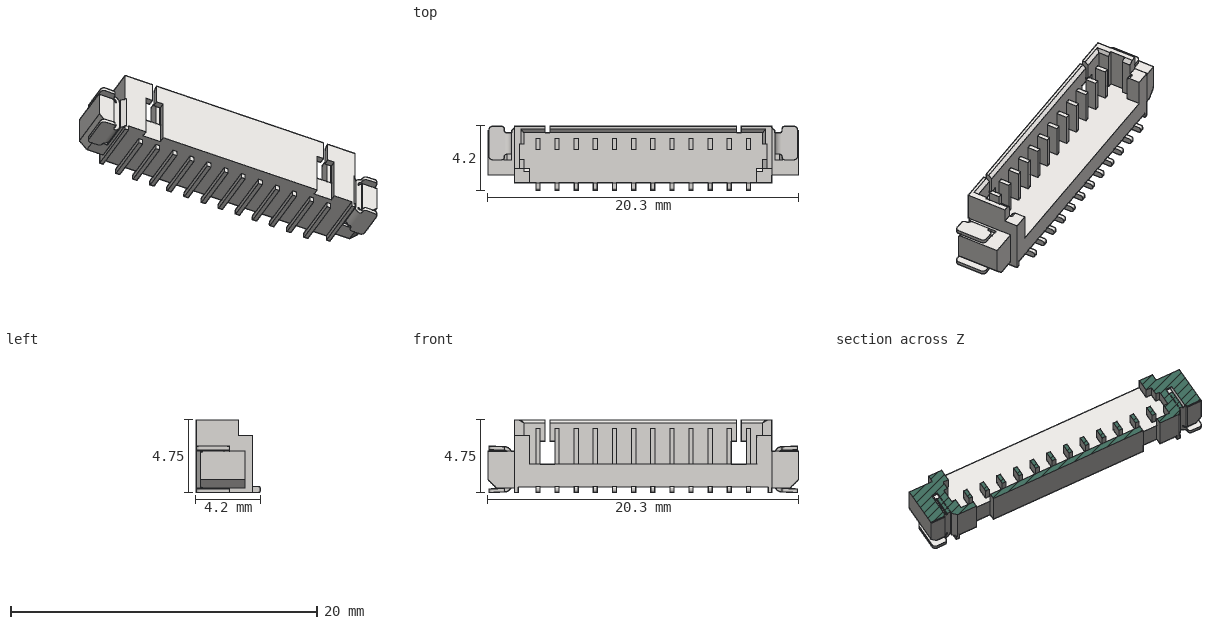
import cadquery as cq
import math

PIN_COUNT = 12
PIN_PITCH = 1.25
PIN_WIDTH = 0.28
PIN_FRONT = 2.17
PIN_BACK = 2.91
PIN_TOP = 4.2
TAIL_LENGTH = 0.5
TAIL_HEIGHT = 0.42
TAIL_ROUNDING = 0.16
FIRST_PIN_X = -PIN_PITCH * (PIN_COUNT - 1) / 2

HALF_LENGTH = 8.41
DEPTH = 3.7
HEIGHT = 4.75
UNDERSIDE = 0.37
FLOOR = 1.86
FOOT_WIDTH = 0.25
BACK_WALL = 0.43
SIDE_WALL = 0.32
STEP_DEPTH = 0.92
STEP_HEIGHT = 3.75

POST_WIDTH = 1.0
POST_DEPTH = 0.73
POST_DROP = 0.12
RIB_WALL = 0.61
FRONT_RIB_BACK = 1.51
BACK_RIB_FRONT = 2.54
LEAD_IN_DROP = 0.2
RIM_SIDE = 0.43
RIM_BACK = 0.2

SLOT_WIDTH = 0.3
WINDOW_WIDTH = PIN_PITCH
WINDOW_TOP = 3.35

EAR_END = 10.145
EAR_FRONT = 0.5
EAR_BACK = 3.42
EAR_BOTTOM = 0.3
EAR_TOP = 2.71
EAR_MIDDLE = (EAR_BOTTOM + EAR_TOP) / 2
EAR_END_CHAMFER = 0.55
EAR_BACK_CHAMFER = 0.13

CLIP_END = 10.08
CLIP_THICKNESS = 0.25
CLIP_TILT = 0.04
CLIP_TOP = 3.05
CLIP_MIDDLE = CLIP_TOP / 2
CLIP_FRONT = 1.5
CLIP_OUTER_CORNER = 0.25
CLIP_INNER_CORNER = 0.2
WEB_INNER = 8.59
WEB_OUTER = WEB_INNER + CLIP_THICKNESS
BEND_RADIUS = 0.47
BEND_START = WEB_INNER + BEND_RADIUS
NECK_FRONT = 1.87
NECK_BACK = 3.27
NECK_CORNER = 0.15
POCKET_DEPTH = 0.2
POCKET_FLOOR_END = 8.89

BEVEL_BACK = EAR_BACK + WEB_INNER - HALF_LENGTH


def block(x0, x1, y0, y1, z0, z1):
    return cq.Workplane("XY").box(x1 - x0, y1 - y0, z1 - z0, centered=False).translate((x0, y0, z0))


def extrude_along_y(points, y0, y1):
    return cq.Workplane("XZ", origin=(0, y0, 0)).polyline(points).close().extrude(y0 - y1)


def extrude_along_x(points, x0, x1):
    return cq.Workplane("YZ", origin=(x0, 0, 0)).polyline(points).close().extrude(x1 - x0)


def both_ends(solid):
    return solid.union(solid.mirror("YZ"))


def housing_shell():
    """Stepped housing, hollow above the floor and open at the front, standing on two feet."""
    side_outline = [
        (0, 0),
        (DEPTH, 0),
        (DEPTH, HEIGHT),
        (STEP_DEPTH, HEIGHT),
        (STEP_DEPTH, STEP_HEIGHT),
        (0, STEP_HEIGHT),
    ]
    foot_inner = HALF_LENGTH - FOOT_WIDTH
    cavity_half = HALF_LENGTH - SIDE_WALL
    shell = extrude_along_x(side_outline, -HALF_LENGTH, HALF_LENGTH)
    shell = shell.cut(block(-foot_inner, foot_inner, 0, DEPTH, 0, UNDERSIDE))
    return shell.cut(block(-cavity_half, cavity_half, 0, DEPTH - BACK_WALL, FLOOR, HEIGHT))


def back_lead_in():
    """Sloped cut along the inner top edge of the back wall, mitred against the side ribs."""
    wall_face = DEPTH - BACK_WALL
    outline = [
        (wall_face, HEIGHT),
        (DEPTH - RIM_BACK, HEIGHT),
        (wall_face, HEIGHT - LEAD_IN_DROP),
    ]
    top_half = HALF_LENGTH - RIM_SIDE
    bottom_half = HALF_LENGTH - RIB_WALL
    mitre_outline = [
        (-bottom_half, HEIGHT - LEAD_IN_DROP),
        (-top_half, HEIGHT),
        (top_half, HEIGHT),
        (bottom_half, HEIGHT - LEAD_IN_DROP),
    ]
    mitre = extrude_along_y(mitre_outline, wall_face, DEPTH)
    return extrude_along_x(outline, -top_half, top_half).intersect(mitre)


def side_rib(rim, y0, y1):
    """Rib on the +X side wall whose top slopes down from the given rim width."""
    outline = [
        (HALF_LENGTH, FLOOR),
        (HALF_LENGTH, HEIGHT),
        (HALF_LENGTH - rim, HEIGHT),
        (HALF_LENGTH - RIB_WALL, HEIGHT - LEAD_IN_DROP),
        (HALF_LENGTH - RIB_WALL, FLOOR),
    ]
    return extrude_along_y(outline, y0, y1)


def corner_post():
    """Post at the +X front corner; its rear edge slopes down only where it stands inside the rib."""
    outline = [
        (0, FLOOR),
        (0, STEP_HEIGHT),
        (POST_DEPTH, STEP_HEIGHT),
        (STEP_DEPTH, STEP_HEIGHT - POST_DROP),
        (STEP_DEPTH, FLOOR),
    ]
    post = extrude_along_x(outline, HALF_LENGTH - POST_WIDTH, HALF_LENGTH)
    outer_part = block(HALF_LENGTH - RIB_WALL, HALF_LENGTH, 0, STEP_DEPTH, FLOOR, STEP_HEIGHT)
    return post.union(outer_part)


def back_opening():
    """Window from the underside up, with a slot to the rim, between the last two +X pins."""
    centre = -FIRST_PIN_X - PIN_PITCH / 2
    wall_face = DEPTH - BACK_WALL
    window = block(
        centre - WINDOW_WIDTH / 2, centre + WINDOW_WIDTH / 2, wall_face, DEPTH, UNDERSIDE, WINDOW_TOP
    )
    slot = block(centre - SLOT_WIDTH / 2, centre + SLOT_WIDTH / 2, wall_face, DEPTH, FLOOR, HEIGHT)
    return window.union(slot)


def ear():
    """Ear on the +X end with a chamfered lower end and chamfered rear edges."""
    rear_outline = [
        (EAR_FRONT, EAR_BOTTOM),
        (EAR_BACK - EAR_BACK_CHAMFER, EAR_BOTTOM),
        (EAR_BACK, EAR_BOTTOM + EAR_BACK_CHAMFER),
        (EAR_BACK, EAR_TOP - EAR_BACK_CHAMFER),
        (EAR_BACK - EAR_BACK_CHAMFER, EAR_TOP),
        (EAR_FRONT, EAR_TOP),
    ]
    end_cut = [
        (EAR_END, EAR_BOTTOM),
        (EAR_END, EAR_BOTTOM + EAR_END_CHAMFER),
        (EAR_END - EAR_END_CHAMFER, EAR_BOTTOM),
    ]
    body = extrude_along_x(rear_outline, WEB_INNER, EAR_END)
    root = block(HALF_LENGTH, WEB_INNER, EAR_FRONT, EAR_BACK, EAR_BOTTOM, EAR_TOP)
    return body.union(root).union(bevel_fill()).cut(extrude_along_y(end_cut, EAR_FRONT, EAR_BACK))


def ear_prism(outline):
    """Prism over the ear's height from an outline in X and Y."""
    base = cq.Workplane("XY", origin=(0, 0, EAR_BOTTOM))
    return base.polyline(outline).close().extrude(EAR_TOP - EAR_BOTTOM)


def bevel_fill():
    """Wedge with a 45-degree rear face behind the ear root, outside the housing's end face."""
    return ear_prism([(HALF_LENGTH, EAR_BACK), (WEB_INNER, EAR_BACK), (HALF_LENGTH, BEVEL_BACK)])


def bevel_cut():
    """The same bevel continued into the housing's rear corner, over the ear's height."""
    bevel_end = WEB_INNER - (DEPTH - EAR_BACK)
    return ear_prism([(HALF_LENGTH, BEVEL_BACK), (HALF_LENGTH, DEPTH), (bevel_end, DEPTH)])


def clip_slot():
    """Slot in the +X ear for the clip, widened at its top and bottom mouths and at the rear."""
    mouth_end = POCKET_FLOOR_END + POCKET_DEPTH
    rear = block(WEB_INNER, mouth_end, NECK_BACK, EAR_BACK, EAR_BOTTOM, EAR_TOP)
    slot = block(WEB_INNER, WEB_OUTER, NECK_FRONT, EAR_BACK, EAR_BOTTOM, EAR_TOP)
    outline = [
        (WEB_INNER, EAR_TOP),
        (WEB_INNER, EAR_TOP - POCKET_DEPTH),
        (POCKET_FLOOR_END, EAR_TOP - POCKET_DEPTH),
        (mouth_end, EAR_TOP),
    ]
    mouth = extrude_along_y(outline, CLIP_FRONT, EAR_BACK)
    return slot.union(rear).union(mouth).union(mouth.mirror("XY", (0, 0, EAR_MIDDLE)))


def clip_upper_half():
    """Upper half of the +X clip: web, bend and slightly raised plate."""
    top = CLIP_TOP - CLIP_TILT
    under = top - CLIP_THICKNESS
    bend_centre = top - BEND_RADIUS
    outer_mid = BEND_RADIUS * math.sqrt(0.5)
    inner_radius = BEND_RADIUS - CLIP_THICKNESS
    inner_mid = inner_radius * math.sqrt(0.5)
    strip = (
        cq.Workplane("XZ", origin=(0, CLIP_FRONT, 0))
        .moveTo(WEB_INNER, CLIP_MIDDLE)
        .lineTo(WEB_INNER, bend_centre)
        .threePointArc((BEND_START - outer_mid, bend_centre + outer_mid), (BEND_START, top))
        .lineTo(CLIP_END, top + CLIP_TILT)
        .lineTo(CLIP_END, under + CLIP_TILT)
        .lineTo(BEND_START, under)
        .threePointArc((BEND_START - inner_mid, bend_centre + inner_mid), (WEB_OUTER, bend_centre))
        .lineTo(WEB_OUTER, CLIP_MIDDLE)
        .close()
        .extrude(CLIP_FRONT - DEPTH)
    )
    return strip.intersect(clip_plan())


def clip_plan():
    """Plan shape of the clip: a rounded plate with a narrower neck towards the housing."""
    plate = block(BEND_START, CLIP_END, CLIP_FRONT, DEPTH, 0, HEIGHT)
    plate = plate.faces(">X").edges("|Z").fillet(CLIP_OUTER_CORNER)
    plate = plate.faces("<X").edges("|Z").fillet(CLIP_INNER_CORNER)
    neck = block(WEB_INNER, CLIP_END - CLIP_OUTER_CORNER, NECK_FRONT, NECK_BACK, 0, HEIGHT)
    inside_corners = cq.selectors.BoxSelector(
        (BEND_START - CLIP_INNER_CORNER / 2, CLIP_FRONT, 0),
        (BEND_START + CLIP_INNER_CORNER / 2, DEPTH, HEIGHT),
    )
    return plate.union(neck).edges("|Z").edges(inside_corners).fillet(NECK_CORNER)


def clip():
    upper = clip_upper_half()
    return upper.union(upper.mirror("XY", (0, 0, CLIP_MIDDLE)))


def contact(x):
    """Upright blade and a rounded solder tail that leaves at the front."""
    left = x - PIN_WIDTH / 2
    right = x + PIN_WIDTH / 2
    blade = block(left, right, PIN_FRONT, PIN_BACK, 0, PIN_TOP)
    tail = block(left, right, -TAIL_LENGTH, PIN_FRONT, 0, TAIL_HEIGHT)
    tail = tail.faces("<Y").edges("|X").fillet(TAIL_ROUNDING)
    return blade.union(tail)


back_rib = side_rib(RIM_SIDE, BACK_RIB_FRONT, DEPTH)
front_rib = side_rib(SIDE_WALL, STEP_DEPTH, FRONT_RIB_BACK)
end_features = back_rib.union(front_rib).union(corner_post())

result = housing_shell().union(both_ends(end_features))
result = result.cut(back_lead_in()).cut(both_ends(back_opening())).cut(both_ends(bevel_cut()))
result = result.union(both_ends(ear().cut(clip_slot()).union(clip())))
for index in range(PIN_COUNT):
    result = result.union(contact(FIRST_PIN_X + index * PIN_PITCH))